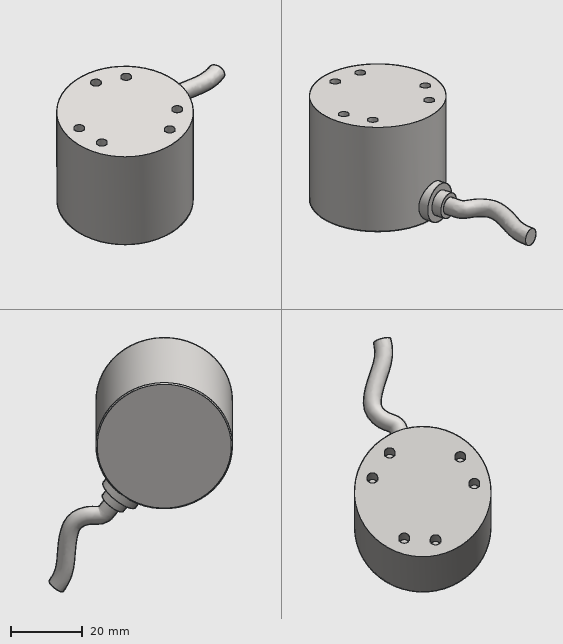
import cadquery as cq

body_diameter = 38.0
body_height = 33.0
base_chamfer = 0.35
body_radius = body_diameter / 2

hole_diameter = 3.0
hole_depth = 6.0
hole_circle_radius = 14.5
holes_per_set = 3
hole_set_start_angles = (30, 115)

total_length = 72.65
boss_diameter = 11.5
boss_projection = 2.2
collar_diameter = 7.5
collar_length = 3.05
cable_diameter = 5.0
outlet_height = 5.8
boss_end = body_radius + boss_projection
collar_end = boss_end + collar_length
cable_end = total_length - body_radius

stub_end = 27.25
cable_waypoints = [(-2.5, 30.5), (-5.3, 35.4), (-4.65, 38.4), (-1.3, 44.5)]
cable_end_x = 1.95


def make_body():
    body = cq.Workplane("XY").circle(body_radius).extrude(body_height)
    return body.faces("<Z").edges().chamfer(base_chamfer)


def outlet_cylinder(diameter, end):
    """Cylinder along +Y from the housing axis to the given Y."""
    axis_plane = cq.Workplane("XZ", origin=(0, 0, outlet_height))
    return axis_plane.circle(diameter / 2).extrude(-end)


def make_wavy_cable():
    """Round cable that leaves the stub and reaches its far end parallel to +Y."""
    along_y = (0, 1)
    points = [(0, stub_end), *cable_waypoints, (cable_end_x, cable_end)]
    level_plane = cq.Workplane("XY", origin=(0, 0, outlet_height))
    path = level_plane.spline(points, tangents=[along_y, along_y])
    section = cq.Workplane("XZ", origin=(0, stub_end, outlet_height))
    return section.circle(cable_diameter / 2).sweep(path)


def hole_set(start_angle):
    """Evenly spaced blind holes around the housing axis."""
    top = cq.Workplane("XY", origin=(0, 0, body_height))
    centres = top.polarArray(hole_circle_radius, start_angle, 360, holes_per_set)
    return centres.circle(hole_diameter / 2).extrude(-hole_depth)


result = (
    make_body()
    .union(outlet_cylinder(boss_diameter, boss_end))
    .union(outlet_cylinder(collar_diameter, collar_end))
    .union(outlet_cylinder(cable_diameter, stub_end))
    .union(make_wavy_cable())
)
for set_start_angle in hole_set_start_angles:
    result = result.cut(hole_set(set_start_angle))